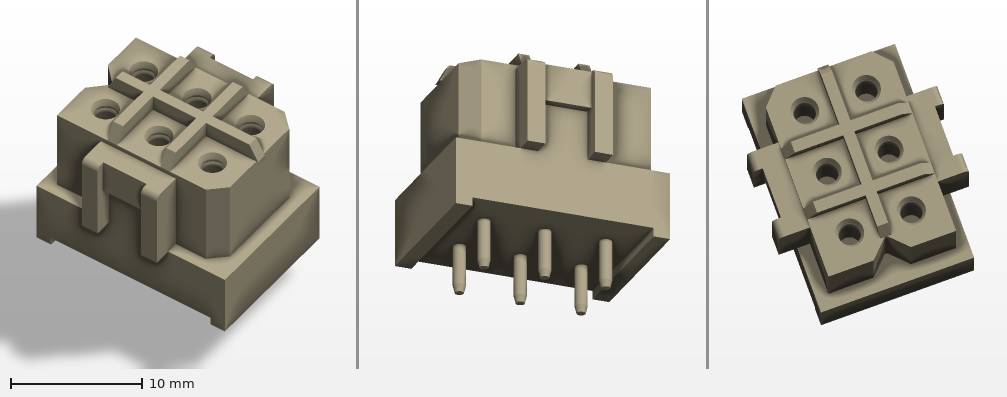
import cadquery as cq
import math


COLUMNS = 3
ROWS = 2
PITCH = 5.0

BASE_X = 17.6
BASE_Y = 12.4
BASE_HEIGHT = 5.5
FOOT_WIDTH = 1.35
FOOT_HEIGHT = 0.7

BODY_X = 15.26
BODY_Y = 10.35
BODY_HEIGHT = 7.4
BODY_TOP = BASE_HEIGHT + BODY_HEIGHT
CORNER_CUT_X = 1.34
CORNER_CUT_Y = 1.28
KEYWAY_HALF_WIDTH = 1.51
KEYWAY_TIP_RADIUS = 0.23

RIB_WIDTH = 0.9
RIB_HEIGHT = 1.4
RIB_END_RUN = 0.8
LONG_RIB_CREST_LEFT = -5.5
LONG_RIB_CREST_RIGHT = 7.0
CROSS_RIB_CREST_HALF = BODY_Y / 2 - RIB_END_RUN

PRONG_WIDTH = 1.48
PRONG_GAP = 4.05
LATCH_WIDTH = PRONG_GAP + 2 * PRONG_WIDTH
LATCH_SPAN_Y = 15.4
LATCH_HEIGHT = 7.0
LATCH_TOP = BASE_HEIGHT + LATCH_HEIGHT
BRIDGE_RECESS = 0.72
BRIDGE_HEIGHT = 3.01
PRONG_ROUND = 0.5

SOCKET_DIAMETER = 2.22
SOCKET_BORE = 1.7
SOCKET_LIP_ROUND = 0.2
SOCKET_DEPTH = 0.93
SOCKET_TOP = BODY_TOP - SOCKET_DEPTH
SOCKET_BOTTOM = BASE_HEIGHT
SOCKET_FLOOR = 0.7
TAIL_DIAMETER = 1.0
TAIL_BOTTOM = -3.19
TAIL_TIP_DIAMETER = 0.7
TAIL_TIP_HEIGHT = 0.6

MOUTH_DIAMETER = SOCKET_DIAMETER
MOUTH_THROAT = 1.75
MOUTH_CONE_DEPTH = 0.5
MOUTH_THROAT_DEPTH = 0.1

CONTACT_POSITIONS = [
    ((column - (COLUMNS - 1) / 2) * PITCH, (row - (ROWS - 1) / 2) * PITCH)
    for column in range(COLUMNS)
    for row in range(ROWS)
]


def box(x_min, x_max, y_min, y_max, z_min, z_max):
    """Axis-aligned block between the given limits."""
    size = (x_max - x_min, y_max - y_min, z_max - z_min)
    return cq.Workplane("XY").box(*size, centered=False).translate((x_min, y_min, z_min))


def make_base():
    """Rectangular base with a foot along each short side."""
    block = box(-BASE_X / 2, BASE_X / 2, -BASE_Y / 2, BASE_Y / 2, 0, BASE_HEIGHT)
    channel_half = BASE_X / 2 - FOOT_WIDTH
    return block.cut(box(-channel_half, channel_half, -BASE_Y / 2, BASE_Y / 2, 0, FOOT_HEIGHT))


def make_body():
    """Body with two cut corners at +X and a 90 degree, round-bottomed keyway at -X."""
    x_end = BODY_X / 2
    y_end = BODY_Y / 2
    tip_half_width = KEYWAY_TIP_RADIUS * math.sin(math.pi / 4)
    flank_end_x = -x_end + KEYWAY_HALF_WIDTH - tip_half_width
    tip_x = flank_end_x + KEYWAY_TIP_RADIUS - tip_half_width
    return (
        cq.Workplane("XY", origin=(0, 0, BASE_HEIGHT))
        .moveTo(-x_end, -y_end)
        .lineTo(x_end - CORNER_CUT_X, -y_end)
        .lineTo(x_end, -y_end + CORNER_CUT_Y)
        .lineTo(x_end, y_end - CORNER_CUT_Y)
        .lineTo(x_end - CORNER_CUT_X, y_end)
        .lineTo(-x_end, y_end)
        .lineTo(-x_end, KEYWAY_HALF_WIDTH)
        .lineTo(flank_end_x, tip_half_width)
        .threePointArc((tip_x, 0), (flank_end_x, -tip_half_width))
        .lineTo(-x_end, -KEYWAY_HALF_WIDTH)
        .close()
        .extrude(BODY_HEIGHT)
    )


def make_rib(plane, crest_start, crest_end):
    """Straight rib with sloped ends, centred on a vertical plane."""
    return (
        cq.Workplane(plane)
        .polyline([
            (crest_start - RIB_END_RUN, BODY_TOP),
            (crest_end + RIB_END_RUN, BODY_TOP),
            (crest_end, BODY_TOP + RIB_HEIGHT),
            (crest_start, BODY_TOP + RIB_HEIGHT),
        ])
        .close()
        .extrude(RIB_WIDTH / 2, both=True)
    )


def make_ribs():
    """One rib along X, stopped at the keyway tip, crossed by two ribs along Y."""
    keyway_tip = -BODY_X / 2 + KEYWAY_HALF_WIDTH - KEYWAY_TIP_RADIUS * (math.sqrt(2) - 1)
    over_keyway = box(
        -BASE_X / 2, keyway_tip, -RIB_WIDTH, RIB_WIDTH, BODY_TOP, BODY_TOP + RIB_HEIGHT
    )
    ribs = make_rib("XZ", LONG_RIB_CREST_LEFT, LONG_RIB_CREST_RIGHT).cut(over_keyway)
    cross_rib = make_rib("YZ", -CROSS_RIB_CREST_HALF, CROSS_RIB_CREST_HALF)
    cross_x = (PRONG_GAP + RIB_WIDTH) / 2
    for x in (-cross_x, cross_x):
        ribs = ribs.union(cross_rib.translate((x, 0, 0)))
    return ribs


def make_latch():
    """Latch on the -Y side: two rounded prongs joined at the top by a recessed bridge."""
    outer_y = -LATCH_SPAN_Y / 2
    base_y = -BASE_Y / 2
    bridge_y = outer_y + BRIDGE_RECESS
    gap_half = PRONG_GAP / 2
    block = box(-LATCH_WIDTH / 2, LATCH_WIDTH / 2, outer_y, -BODY_Y / 2, BASE_HEIGHT, LATCH_TOP)
    rounded = block.edges("<Y and >Z").fillet(PRONG_ROUND)
    bridge_front = box(-gap_half, gap_half, outer_y, bridge_y, BASE_HEIGHT, LATCH_TOP)
    under_bridge = box(
        -gap_half, gap_half, outer_y, base_y, BASE_HEIGHT, LATCH_TOP - BRIDGE_HEIGHT
    )
    return rounded.cut(bridge_front).cut(under_bridge)


def make_contact_cavity():
    """Funnel mouth, socket chamber and tail hole for one contact centred on the Z axis."""
    mouth_radius = MOUTH_DIAMETER / 2
    throat_radius = MOUTH_THROAT / 2
    throat_top = BODY_TOP - MOUTH_CONE_DEPTH
    throat_bottom = throat_top - MOUTH_THROAT_DEPTH
    socket_radius = SOCKET_DIAMETER / 2
    tail_radius = TAIL_DIAMETER / 2
    return (
        cq.Workplane("XZ")
        .polyline([
            (0, FOOT_HEIGHT),
            (tail_radius, FOOT_HEIGHT),
            (tail_radius, SOCKET_BOTTOM),
            (socket_radius, SOCKET_BOTTOM),
            (socket_radius, throat_bottom),
            (throat_radius, throat_bottom),
            (throat_radius, throat_top),
            (mouth_radius, BODY_TOP),
            (0, BODY_TOP),
        ])
        .close()
        .revolve(360, (0, 0), (0, 1))
    )


def make_housing():
    """Complete moulded housing with the six contact cavities."""
    latch = make_latch()
    housing = make_base().union(make_body()).union(make_ribs())
    housing = housing.union(latch).union(latch.mirror("XZ"))
    cavity = make_contact_cavity()
    for x, y in CONTACT_POSITIONS:
        housing = housing.cut(cavity.translate((x, y, 0)))
    return housing


def make_contact():
    """Socket contact on the Z axis: cup with a rounded lip and a tail with a tapered tip."""
    socket_radius = SOCKET_DIAMETER / 2
    bore_radius = SOCKET_BORE / 2
    tail_radius = TAIL_DIAMETER / 2
    lip_centre_radius = bore_radius + SOCKET_LIP_ROUND
    lip_centre_z = SOCKET_TOP - SOCKET_LIP_ROUND
    lip_diagonal = SOCKET_LIP_ROUND * math.sin(math.pi / 4)
    bore_floor_z = SOCKET_BOTTOM + SOCKET_FLOOR
    return (
        cq.Workplane("XZ")
        .moveTo(0, TAIL_BOTTOM)
        .lineTo(TAIL_TIP_DIAMETER / 2, TAIL_BOTTOM)
        .lineTo(tail_radius, TAIL_BOTTOM + TAIL_TIP_HEIGHT)
        .lineTo(tail_radius, SOCKET_BOTTOM)
        .lineTo(socket_radius, SOCKET_BOTTOM)
        .lineTo(socket_radius, SOCKET_TOP)
        .lineTo(lip_centre_radius, SOCKET_TOP)
        .threePointArc(
            (lip_centre_radius - lip_diagonal, lip_centre_z + lip_diagonal),
            (bore_radius, lip_centre_z),
        )
        .lineTo(bore_radius, bore_floor_z)
        .lineTo(0, bore_floor_z)
        .close()
        .revolve(360, (0, 0), (0, 1))
    )


housing = make_housing()
contact = make_contact()
contacts = [contact.translate((x, y, 0)) for x, y in CONTACT_POSITIONS]

result = cq.Compound.makeCompound([housing.val(), *[body.val() for body in contacts]])